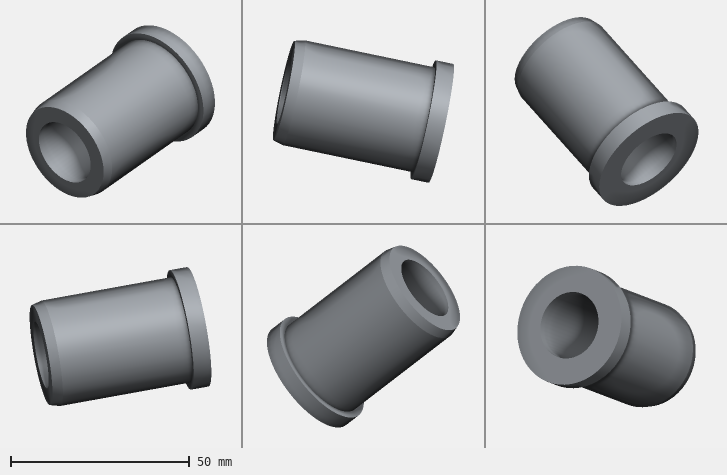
import cadquery as cq
import math

overall_length = 45.0
flange_diameter = 34.0
flange_thickness = 5.0
body_diameter = 30.0
bore_diameter = 19.0

tip_diameter = 28.5
taper_angle = 15.0

flange_radius = flange_diameter / 2
body_radius = body_diameter / 2
bore_radius = bore_diameter / 2
tip_radius = tip_diameter / 2
taper_length = (body_radius - tip_radius) / math.tan(math.radians(taper_angle))

tip_y = 0.0
taper_end_y = tip_y + taper_length
flange_end_y = tip_y + overall_length
shoulder_y = flange_end_y - flange_thickness


def bushing():
    """Revolve the half section, from bore to outer surface, about the Y axis."""
    half_section = (
        cq.Workplane("XY")
        .moveTo(bore_radius, tip_y)
        .lineTo(tip_radius, tip_y)
        .lineTo(body_radius, taper_end_y)
        .lineTo(body_radius, shoulder_y)
        .lineTo(flange_radius, shoulder_y)
        .lineTo(flange_radius, flange_end_y)
        .lineTo(bore_radius, flange_end_y)
        .close()
    )
    return half_section.revolve(360, (0, 0, 0), (0, 1, 0))


result = bushing()